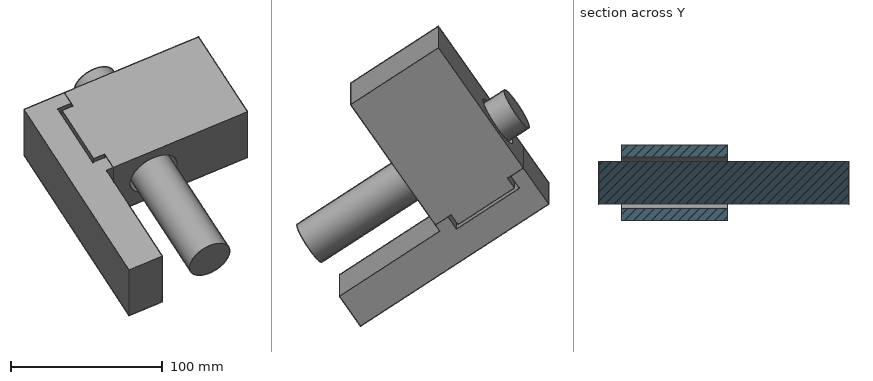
import cadquery as cq

shaft_length = 165.0
total_depth = 130.0
height = 50.0

block_left = 15.0
block_width = 70.0
block_front = 30.0

recess_width = 50.0
recess_depth = 10.0
tongue_width = 45.0
tongue_length = 8.1

arm_thickness = 24.9

shaft_diameter = 30.0
bore_diameter = 35.0
shaft_y = 60.0

block_center_x = block_left + block_width / 2
shaft_z = height / 2


def box(left, front, width, depth):
    """Full-height box placed by its left front lower corner."""
    return cq.Workplane("XY").box(width, depth, height, centered=False).translate((left, front, 0))


def rod(diameter):
    """Cylinder along the shaft axis, over the full shaft length."""
    return cq.Workplane("YZ").center(shaft_y, shaft_z).circle(diameter / 2).extrude(shaft_length)


def make_block():
    """Bored block with a tongue on its front face."""
    body = box(block_left, block_front, block_width, total_depth - block_front)
    tongue = box(block_center_x - tongue_width / 2, block_front - tongue_length, tongue_width, tongue_length)
    return body.union(tongue).cut(rod(bore_diameter))


def make_arm():
    """Arm with a thicker, recessed end that bears on the block."""
    bar = box(block_left, 0, shaft_length - block_left, arm_thickness)
    thick_end = box(block_left, 0, block_width, block_front)
    recess = box(block_center_x - recess_width / 2, block_front - recess_depth, recess_width, recess_depth)
    return bar.union(thick_end).cut(recess)


block = make_block()
arm = make_arm()
shaft = rod(shaft_diameter)

result = cq.Compound.makeCompound([block.val(), arm.val(), shaft.val()])